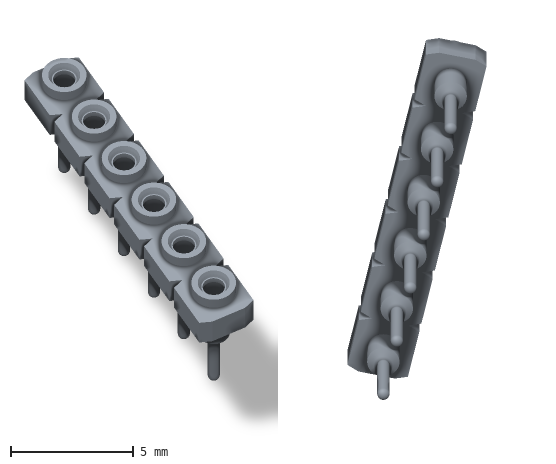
import cadquery as cq
import math

pin_count = 6
length = 15.24
pitch = length / pin_count
overall_height = 6.1

housing_height = 1.25
notch_half_width = 0.2
notch_depth = 0.5

flange_dia = 1.83
flange_height = 0.5
flange_gap = 0.21
barrel_dia = 1.33
barrel_end_depth = 3.12
taper_height = 0.23
tail_dia = 0.5

funnel_dia = 1.31
funnel_depth = 0.26
bore_dia = 1.02
lip_dia = 0.91
lip_height = 0.25
bore_depth = 2.13
drill_point_angle = 118.0

housing_top = housing_height / 2
pin_top = housing_top + flange_gap + flange_height
flange_bottom = pin_top - flange_height
barrel_bottom = pin_top - barrel_end_depth
taper_bottom = barrel_bottom - taper_height
pin_tip = pin_top - overall_height
tail_radius = tail_dia / 2
pin_xs = [(i - (pin_count - 1) / 2) * pitch for i in range(pin_count)]


def make_cell(x):
    """One octagonal housing cell with its pin hole."""
    half = pitch / 2
    flat_x = half - notch_half_width
    flat_y = half - notch_depth
    outline = [
        (-half, -flat_y),
        (-flat_x, -half),
        (flat_x, -half),
        (half, -flat_y),
        (half, flat_y),
        (flat_x, half),
        (-flat_x, half),
        (-half, flat_y),
    ]
    return (
        cq.Workplane("XY", origin=(x, 0, -housing_height / 2))
        .polyline(outline)
        .close()
        .circle(barrel_dia / 2)
        .extrude(housing_height)
    )


def make_housing():
    """Row of cells joined into one strip; corner cuts form V notches between them."""
    housing = make_cell(pin_xs[0])
    for x in pin_xs[1:]:
        housing = housing.union(make_cell(x))
    return housing.clean()


def make_pin(x):
    """Turned pin: half section, bore included, revolved about its own axis."""
    lip_top = pin_top - funnel_depth
    lip_bottom = lip_top - lip_height
    bore_bottom = pin_top - bore_depth
    point_height = bore_dia / 2 / math.tan(math.radians(drill_point_angle / 2))
    tip_arc = tail_radius * math.sqrt(0.5)
    tip_centre = pin_tip + tail_radius
    return (
        cq.Workplane("XZ", origin=(x, 0, 0))
        .moveTo(0, pin_tip)
        .threePointArc((tip_arc, tip_centre - tip_arc), (tail_radius, tip_centre))
        .lineTo(tail_radius, taper_bottom)
        .lineTo(barrel_dia / 2, barrel_bottom)
        .lineTo(barrel_dia / 2, flange_bottom)
        .lineTo(flange_dia / 2, flange_bottom)
        .lineTo(flange_dia / 2, pin_top)
        .lineTo(funnel_dia / 2, pin_top)
        .lineTo(bore_dia / 2, lip_top)
        .lineTo(lip_dia / 2, lip_top)
        .lineTo(lip_dia / 2, lip_bottom)
        .lineTo(bore_dia / 2, lip_bottom)
        .lineTo(bore_dia / 2, bore_bottom)
        .lineTo(0, bore_bottom - point_height)
        .close()
        .revolve(360, (0, 0, 0), (0, 1, 0))
    )


housing = make_housing()
pins = [make_pin(x) for x in pin_xs]

result = cq.Compound.makeCompound([housing.val(), *[pin.val() for pin in pins]])